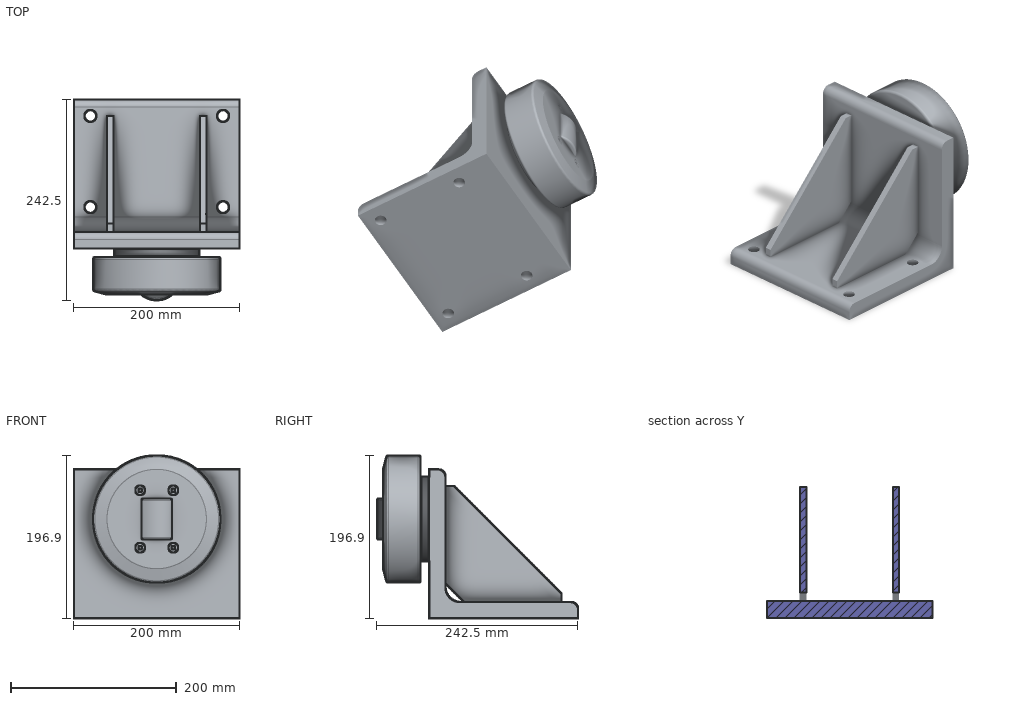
import cadquery as cq
import math

BRACKET_WIDTH = 200.0
LEG_LENGTH = 180.0
LEG_THICKNESS = 20.0
ROOT_RADIUS = 18.0
TOE_RADIUS = ROOT_RADIUS / 2

MOUNT_HOLE_DIAMETER = 14.0
MOUNT_HOLE_X = 80.0
MOUNT_HOLE_YS = (50.0, 160.0)

RIB_THICKNESS = 8.0
RIB_OUTER_X = 60.0
RIB_SETBACK = 20.0
RIB_REACH = LEG_LENGTH - RIB_SETBACK
RIB_END_FLAT = 10.0
RIB_ROOT_CUT = 22.0

AXIS_Z = 120.0
HUB_DIAMETER = 103.0
HUB_LENGTH = 10.0
HUB_CHAMFER = 0.8
BEARING_RADIUS = 76.89
BEARING_FRONT = 55.5
BEARING_EDGE_RADIUS = 3.0
FACE_RADIUS = 60.0
FACE_BEVEL_ANGLE = 15.0

ROLLER_FRONT = 62.5
ROLLER_RADIUS = 27.5
ROLLER_LENGTH = 50.0
ROLLER_EDGE_RADIUS = 2.5

SCREW_CIRCLE_RADIUS = 40.0
SCREW_ANGLES = (60.0, 120.0, 240.0, 300.0)
SCREW_HEAD_DIAMETER = 11.7
SCREW_SOCKET_DIAMETER = 4.5
SCREW_HEAD_RECESS = 0.2
SCREW_SOCKET_DEPTH = 2.0


def make_bracket():
    """Rolled angle section with a rounded root and toes, drilled for mounting."""
    angle = (
        cq.Workplane("YZ")
        .polyline([
            (0, 0),
            (LEG_LENGTH, 0),
            (LEG_LENGTH, LEG_THICKNESS),
            (LEG_THICKNESS, LEG_THICKNESS),
            (LEG_THICKNESS, LEG_LENGTH),
            (0, LEG_LENGTH),
        ])
        .close()
        .extrude(BRACKET_WIDTH / 2, both=True)
    )

    def edge_at(y, z):
        return cq.selectors.NearestToPointSelector((0, y, z))

    angle = angle.edges(edge_at(LEG_THICKNESS, LEG_THICKNESS)).fillet(ROOT_RADIUS)
    angle = angle.edges(edge_at(LEG_LENGTH, LEG_THICKNESS)).fillet(TOE_RADIUS)
    angle = angle.edges(edge_at(LEG_THICKNESS, LEG_LENGTH)).fillet(TOE_RADIUS)

    hole_centres = [(x, y) for x in (-MOUNT_HOLE_X, MOUNT_HOLE_X) for y in MOUNT_HOLE_YS]
    holes = (
        cq.Workplane("XY")
        .pushPoints(hole_centres)
        .circle(MOUNT_HOLE_DIAMETER / 2)
        .extrude(LEG_THICKNESS)
    )
    return angle.cut(holes)


def make_rib(start_x):
    """Triangular gusset with blunt tips and its root corner cut away."""
    root_end = LEG_THICKNESS + RIB_ROOT_CUT
    tip_end = LEG_THICKNESS + RIB_END_FLAT
    return (
        cq.Workplane("YZ", origin=(start_x, 0, 0))
        .polyline([
            (root_end, LEG_THICKNESS),
            (RIB_REACH, LEG_THICKNESS),
            (RIB_REACH, tip_end),
            (tip_end, RIB_REACH),
            (LEG_THICKNESS, RIB_REACH),
            (LEG_THICKNESS, root_end),
        ])
        .close()
        .extrude(RIB_THICKNESS)
    )


def face_plane(distance):
    """Workplane looking out along -Y, centred on the bearing axis."""
    return cq.Workplane("XZ", origin=(0, -distance, AXIS_Z))


def make_hub():
    """Short spacer between the wall and the bearing, chamfered at both ends."""
    hub = face_plane(0).circle(HUB_DIAMETER / 2).extrude(HUB_LENGTH)
    return hub.edges().chamfer(HUB_CHAMFER)


def make_bearing():
    """Bearing drum with a shallow conical bevel around its flat front face."""
    bevel_depth = (BEARING_RADIUS - FACE_RADIUS) * math.tan(math.radians(FACE_BEVEL_ANGLE))
    shoulder = BEARING_FRONT - bevel_depth
    drum = (
        cq.Workplane("XY")
        .polyline([
            (0, -HUB_LENGTH),
            (BEARING_RADIUS, -HUB_LENGTH),
            (BEARING_RADIUS, -shoulder),
            (FACE_RADIUS, -BEARING_FRONT),
            (0, -BEARING_FRONT),
        ])
        .close()
        .revolve(360, (0, 0, 0), (0, 1, 0))
        .translate((0, 0, AXIS_Z))
    )
    rim_edges = cq.selectors.RadiusNthSelector(-1)
    return drum.edges(rim_edges).fillet(BEARING_EDGE_RADIUS)


def make_roller():
    """Roller with rounded ends, mostly sunk inside the bearing."""
    bottom_z = AXIS_Z - ROLLER_LENGTH / 2
    return (
        cq.Workplane("XY", origin=(0, ROLLER_RADIUS - ROLLER_FRONT, bottom_z))
        .circle(ROLLER_RADIUS)
        .extrude(ROLLER_LENGTH)
        .faces("|Z")
        .edges()
        .fillet(ROLLER_EDGE_RADIUS)
    )


def make_screw_recesses():
    """Shallow round head recesses, each with a deeper socket in its floor."""
    centres = []
    for angle in map(math.radians, SCREW_ANGLES):
        centres.append((SCREW_CIRCLE_RADIUS * math.cos(angle), SCREW_CIRCLE_RADIUS * math.sin(angle)))
    face = face_plane(BEARING_FRONT).pushPoints(centres)
    heads = face.circle(SCREW_HEAD_DIAMETER / 2).extrude(-SCREW_HEAD_RECESS)
    sockets = face.circle(SCREW_SOCKET_DIAMETER / 2).extrude(-SCREW_SOCKET_DEPTH)
    return heads.union(sockets)


result = make_bracket()
for rib_start_x in (-RIB_OUTER_X, RIB_OUTER_X - RIB_THICKNESS):
    result = result.union(make_rib(rib_start_x))
result = result.union(make_hub())
result = result.union(make_bearing().cut(make_screw_recesses()))
result = result.union(make_roller())